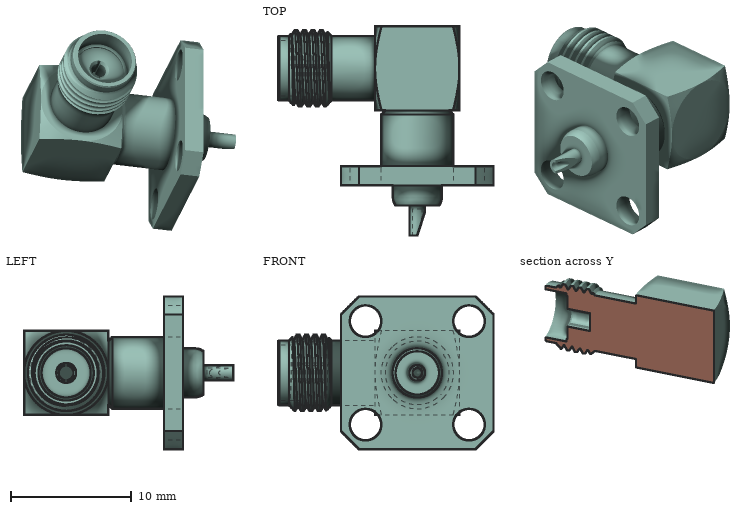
import cadquery as cq
import math


overall_x = 17.94
overall_y = 17.4

flange_side = 12.7
flange_thickness = 1.6
flange_corner_cut = 1.5
mount_hole_diameter = 2.6
mount_hole_spacing = 8.6

collar_radius = 2.05
collar_length = 1.7
collar_straight_length = 0.97
collar_end_radius = 1.8
pin_radius = 0.65
pin_tip_y = -4.18
pin_bore_radius = 0.4
pin_bore_depth = 2.2
pin_cut_length = 2.0

neck_radius = 3.0
neck_chamfer = 0.35
block_side = 7.0
block_half = block_side / 2
block_back_y = overall_y + pin_tip_y
block_front_y = block_back_y - block_side
block_center_y = block_back_y - block_half
block_bevel_angle = 20.0

socket_end_x = flange_side / 2 - overall_x
barrel_radius = 2.7
barrel_lip_length = 0.13
barrel_lip_step = 0.08
thread_start_x = -10.65
thread_end_x = -7.14
thread_diameter = 6.35
thread_radius = thread_diameter / 2
inch = 25.4
threads_per_inch = 36
thread_pitch = inch / threads_per_inch
thread_root_clearance = 0.04
thread_root_radius = barrel_radius + thread_root_clearance
thread_flank_angle = 30.0
groove_start_x = -11.32
groove_turns = 6
groove_overshoot = 0.1

socket_bore_radius = 2.3
socket_bore_depth = 1.85
insulator_radius = 2.04
insulator_recess = 0.13
contact_mouth_radius = 0.83
contact_bore_radius = 0.62
contact_bevel_depth = 0.2
contact_bore_depth = 2.0
contact_slot_width = 0.25


def revolve_about_y(points):
    """Revolve an outline of (radius, y) points about the Y axis."""
    return cq.Workplane("XY").polyline(points).close().revolve(360, (0, 0), (0, 1))


def revolve_about_socket(points):
    """Revolve an outline of (x, radius) points about the socket axis."""
    profile = cq.Workplane("XY").polyline(points).close()
    return profile.revolve(360, (0, 0), (1, 0)).translate((0, block_center_y, 0))


def make_flange():
    plate = (
        cq.Workplane("XZ")
        .rect(flange_side, flange_side)
        .extrude(-flange_thickness)
        .edges("|Y")
        .chamfer(flange_corner_cut)
    )
    holes = (
        cq.Workplane("XZ")
        .rect(mount_hole_spacing, mount_hole_spacing, forConstruction=True)
        .vertices()
        .circle(mount_hole_diameter / 2)
        .extrude(-flange_thickness)
    )
    return plate.cut(holes)


def make_collar():
    """Cylinder in front of the flange whose free end curves inward."""
    curve_length = collar_length - collar_straight_length
    curve_step = collar_radius - collar_end_radius
    curve_radius = (curve_length**2 + curve_step**2) / (2 * curve_step)
    half_angle = math.asin(curve_length / curve_radius) / 2
    curve_middle = (
        collar_radius - curve_radius * (1 - math.cos(half_angle)),
        -collar_straight_length - curve_radius * math.sin(half_angle),
    )
    return (
        cq.Workplane("XY")
        .moveTo(0, flange_thickness)
        .lineTo(collar_radius, flange_thickness)
        .lineTo(collar_radius, -collar_straight_length)
        .threePointArc(curve_middle, (collar_end_radius, -collar_length))
        .lineTo(0, -collar_length)
        .close()
        .revolve(360, (0, 0), (0, 1))
    )


def make_pin():
    """Hollow solder pin, cut at a slant down to its axis on the +X side."""
    pin = cq.Workplane("XZ").circle(pin_radius).extrude(-pin_tip_y)
    bore = (
        cq.Workplane("XZ", origin=(0, pin_tip_y, 0))
        .circle(pin_bore_radius)
        .extrude(-pin_bore_depth)
    )
    slant = (
        cq.Workplane("XY")
        .polyline([
            (0, pin_tip_y),
            (pin_radius, pin_tip_y + pin_cut_length),
            (pin_radius, pin_tip_y),
        ])
        .close()
        .extrude(pin_radius, both=True)
    )
    return pin.cut(bore).cut(slant)


def make_neck():
    return revolve_about_y([
        (0, 0),
        (neck_radius, 0),
        (neck_radius, block_front_y - neck_chamfer),
        (neck_radius - neck_chamfer, block_front_y),
        (0, block_front_y),
    ])


def make_block():
    """Cube whose -X and +X faces are turned to a shallow cone outside the inscribed circle."""
    cube = cq.Workplane("XY").box(block_side, block_side, block_side)
    cube = cube.translate((0, block_center_y, 0))
    cone_height = block_half * math.tan(math.radians(block_bevel_angle))
    outer_radius = block_side
    turned_envelope = revolve_about_socket([
        (-block_half, 0),
        (-block_half, block_half),
        (-block_half + cone_height, outer_radius),
        (block_half - cone_height, outer_radius),
        (block_half, block_half),
        (block_half, 0),
    ])
    return cube.intersect(turned_envelope)


def make_barrel():
    """Socket barrel with a larger band, bevelled at both ends, for the thread."""
    thread_height = thread_radius - barrel_radius
    return revolve_about_socket([
        (socket_end_x, 0),
        (socket_end_x, barrel_radius - barrel_lip_step),
        (socket_end_x + barrel_lip_length, barrel_radius),
        (thread_start_x, barrel_radius),
        (thread_start_x + thread_height, thread_radius),
        (thread_end_x - thread_height, thread_radius),
        (thread_end_x, barrel_radius),
        (-block_half, barrel_radius),
        (-block_half, 0),
    ])


def make_groove_turn():
    """First turn of the right-hand V groove, swept about Z and then laid along the socket axis."""
    outer_radius = thread_radius + groove_overshoot
    groove_depth = outer_radius - thread_root_radius
    half_width = groove_depth * math.tan(math.radians(thread_flank_angle))
    helix = cq.Wire.makeHelix(thread_pitch, thread_pitch, thread_root_radius)
    groove = (
        cq.Workplane("XZ")
        .polyline([
            (thread_root_radius, 0),
            (outer_radius, half_width),
            (outer_radius, -half_width),
        ])
        .close()
        .sweep(cq.Workplane("XY").add(helix), isFrenet=True)
    )
    groove = groove.rotate((0, 0, 0), (0, 1, 0), 90)
    return groove.translate((groove_start_x, block_center_y, 0))


def cut_thread(barrel):
    """Cut the groove one turn at a time, each turn one pitch further along X."""
    groove_turn = make_groove_turn()
    for turn in range(groove_turns):
        barrel = barrel.cut(groove_turn.translate((turn * thread_pitch, 0, 0)))
    return barrel


def make_socket_cavity():
    """Stepped bore down to the insulator, with the bevelled and slotted contact hole in it."""
    seat_x = socket_end_x + socket_bore_depth
    insulator_x = seat_x + insulator_recess
    bevel_end_x = insulator_x + contact_bevel_depth
    contact_bottom_x = insulator_x + contact_bore_depth
    bore = revolve_about_socket([
        (socket_end_x, 0),
        (socket_end_x, socket_bore_radius),
        (seat_x, socket_bore_radius),
        (seat_x, insulator_radius),
        (insulator_x, insulator_radius),
        (insulator_x, contact_mouth_radius),
        (bevel_end_x, contact_bore_radius),
        (contact_bottom_x, contact_bore_radius),
        (contact_bottom_x, 0),
    ])
    slot = (
        cq.Workplane("YZ", origin=(insulator_x, block_center_y, 0))
        .rect(contact_slot_width, 2 * contact_mouth_radius)
        .extrude(contact_bore_depth)
    )
    return bore.union(slot)


socket = cut_thread(make_barrel()).cut(make_socket_cavity())

result = (
    make_flange()
    .union(make_collar())
    .union(make_pin())
    .union(make_neck())
    .union(make_block())
    .union(socket)
)